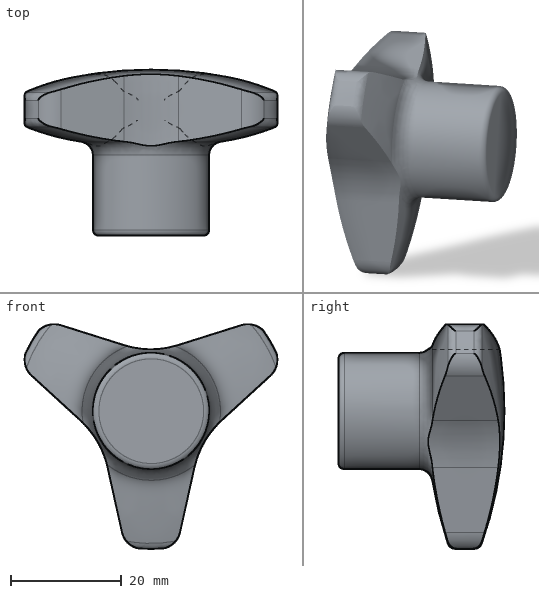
import cadquery as cq
import math

total_length = 30.0
arm_count = 3
arm_reach = 24.95
arm_taper = 12.5
tip_corner_radius = 3.95
valley_radius = 16.2
valley_depth = 11.15
hub_radius = 21 / 2
hub_end_rounding = 1.05
hub_root_radius = 2.38
back_dome_radius = 71.75
front_dome_radius = 76.75
front_apex = 15.9
corner_overlap = 0.05
rim_rounding = 1.55


def dome_rise(dome_radius, radius):
    """Axial height lost by a spherical dome at a distance from the axis."""
    return dome_radius - math.sqrt(dome_radius**2 - radius**2)


def turned_body():
    """Head with two domed faces on a round hub, before the arms are shaped."""
    middle = arm_reach / 2
    front_start = front_apex + dome_rise(front_dome_radius, hub_radius)
    front_middle = front_apex + dome_rise(front_dome_radius, middle)
    front_rim = front_apex + dome_rise(front_dome_radius, arm_reach)
    back_middle = total_length - dome_rise(back_dome_radius, middle)
    back_rim = total_length - dome_rise(back_dome_radius, arm_reach)
    body = (
        cq.Workplane("XY")
        .lineTo(hub_radius, 0)
        .lineTo(hub_radius, front_start)
        .threePointArc((middle, front_middle), (arm_reach, front_rim))
        .lineTo(arm_reach, back_rim)
        .threePointArc((middle, back_middle), (0, total_length))
        .close()
        .revolve(360, (0, 0, 0), (0, 1, 0))
    )

    def ring_at(y):
        """Selector for the circular edge centred on the axis at height y."""
        tolerance = 0.05
        return cq.selectors.BoxSelector(
            (-hub_radius, y - tolerance, -hub_radius),
            (hub_radius, y + tolerance, hub_radius),
        )

    body = body.edges(ring_at(front_rim)).fillet(rim_rounding)
    body = body.edges(ring_at(back_rim)).fillet(rim_rounding)
    body = body.edges(ring_at(front_start)).fillet(hub_root_radius)
    return body.faces("<Y").edges().fillet(hub_end_rounding)


def polar(radius, angle):
    return (radius * math.cos(angle), radius * math.sin(angle))


def gap_prism():
    """Prism along Y that clears the space between two neighbouring arms.

    The outline is worked out with one arm centre line at angle zero and is
    symmetric about the middle of the gap, half an arm pitch away.
    """
    clear_radius = 3 * arm_reach
    half_pitch = math.pi / arm_count
    flank_normal = math.pi / 2 - math.radians(arm_taper)
    valley_centre = valley_depth + valley_radius
    flank_distance = valley_centre * math.cos(half_pitch - flank_normal) - valley_radius
    corner_reach = arm_reach + corner_overlap
    corner_centre = corner_reach - tip_corner_radius
    tip_angle = flank_normal - math.acos((flank_distance - tip_corner_radius) / corner_centre)

    def offset_point(centre, radius, angle):
        shift = polar(radius, angle)
        return (centre[0] + shift[0], centre[1] + shift[1])

    def mirrored(point):
        """Reflect a point across the middle of the gap."""
        radius = math.hypot(*point)
        return polar(radius, 2 * half_pitch - math.atan2(point[1], point[0]))

    corner = polar(corner_centre, tip_angle)
    valley_end = offset_point(polar(valley_centre, half_pitch), -valley_radius, flank_normal)
    corner_start = polar(corner_reach, tip_angle)
    corner_middle = offset_point(corner, tip_corner_radius, (tip_angle + flank_normal) / 2)
    corner_end = offset_point(corner, tip_corner_radius, flank_normal)
    outside = polar(clear_radius, tip_angle)
    return (
        cq.Workplane("XZ")
        .moveTo(*outside)
        .lineTo(*corner_start)
        .threePointArc(corner_middle, corner_end)
        .lineTo(*valley_end)
        .threePointArc(polar(valley_depth, half_pitch), mirrored(valley_end))
        .lineTo(*mirrored(corner_end))
        .threePointArc(mirrored(corner_middle), mirrored(corner_start))
        .lineTo(*mirrored(outside))
        .close()
        .extrude(-total_length)
    )


arm_pitch = 360 / arm_count
first_arm_turn = 90
result = turned_body()
for index in range(arm_count):
    turn = first_arm_turn + index * arm_pitch
    result = result.cut(gap_prism().rotate((0, 0, 0), (0, 1, 0), turn))